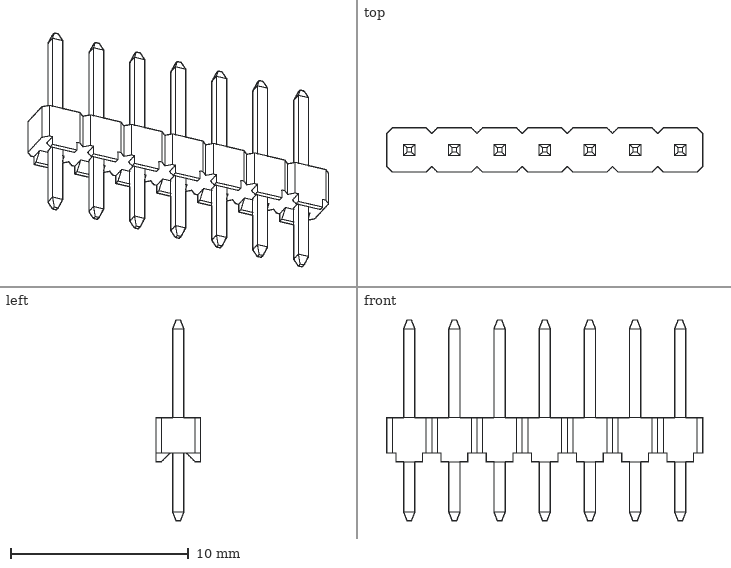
import cadquery as cq

pin_count = 7
header_length = 17.78
body_depth = 2.5
body_height = 2.0
corner_chamfer = 0.32
foot_width = 1.51
foot_height = 0.5
foot_base_depth = 0.3
pin_side = 0.64
pin_length = 11.3
pin_above_body = 5.5
tip_height = 0.5
tip_side = 0.25

pitch = header_length / pin_count
pin_top = body_height + pin_above_body
pin_bottom = pin_top - pin_length
pin_xs = [(i - (pin_count - 1) / 2) * pitch for i in range(pin_count)]


def make_segment():
    """One body cell with chamfered vertical corners; neighbours form V notches."""
    return (
        cq.Workplane("XY")
        .box(pitch, body_depth, body_height, centered=(True, True, False))
        .edges("|Z")
        .chamfer(corner_chamfer)
    )


def make_front_foot():
    """Standoff rib under the front (-Y) edge, its inner face sloping at 45 degrees."""
    outer_y = -body_depth / 2
    return (
        cq.Workplane("YZ")
        .moveTo(outer_y, 0)
        .lineTo(outer_y, -foot_height)
        .lineTo(outer_y + foot_base_depth, -foot_height)
        .lineTo(outer_y + foot_base_depth + foot_height, 0)
        .close()
        .extrude(foot_width / 2, both=True)
    )


def make_tip():
    """Square frustum narrowing upwards from Z = 0."""
    return (
        cq.Workplane("XY")
        .rect(pin_side, pin_side)
        .workplane(offset=tip_height)
        .rect(tip_side, tip_side)
        .loft(ruled=True)
    )


def make_pin():
    """Square pin with a tapered tip at both ends."""
    shaft_bottom = pin_bottom + tip_height
    shaft_top = pin_top - tip_height
    shaft = (
        cq.Workplane("XY")
        .workplane(offset=shaft_bottom)
        .rect(pin_side, pin_side)
        .extrude(shaft_top - shaft_bottom)
    )
    top_tip = make_tip().translate((0, 0, shaft_top))
    bottom_tip = make_tip().mirror("XY").translate((0, 0, shaft_bottom))
    return shaft.union(top_tip).union(bottom_tip)


front_foot = make_front_foot()
back_foot = front_foot.mirror("XZ")
cell = make_segment().union(front_foot).union(back_foot).union(make_pin())

result = cell.translate((pin_xs[0], 0, 0))
for x in pin_xs[1:]:
    result = result.union(cell.translate((x, 0, 0)))
result = result.clean()